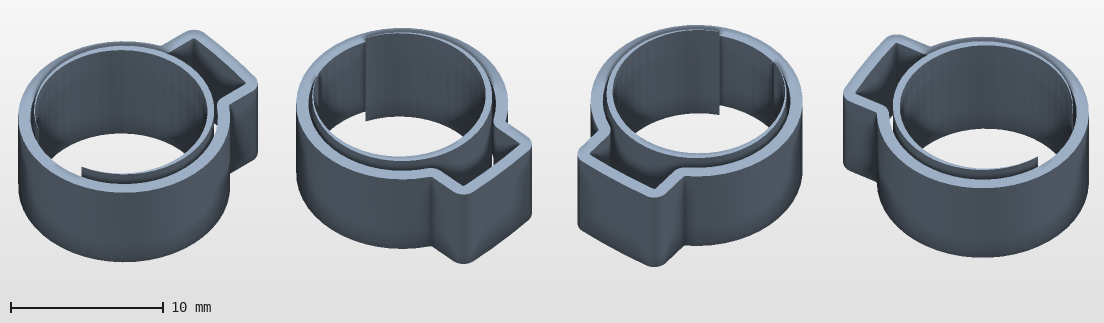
import cadquery as cq
import math

total_length = 15.99
clamp_diameter = 13.9
clamp_width = 6.5
wall = 0.8
ear_width = 7.0
crown_radius = 38.38
corner_outer_radius = 0.96
corner_inner_radius = corner_outer_radius - wall
root_outer_radius = 0.16
root_inner_radius = root_outer_radius + wall

ring_width = 7.8
ring_outer_radius = 5.9
ring_thickest_wall = 0.5
bore_offset = ring_thickest_wall / 2
bore_radius = ring_outer_radius - bore_offset
ring_gap = 4.48

clamp_radius = clamp_diameter / 2
ear_top = total_length - clamp_radius


def centred_extrusion(sketch, height):
    """Extrude a closed XY sketch to the given height, centred on Z = 0."""
    return sketch.extrude(height / 2, both=True)


def clamp_block(inset, corner_radius, root_radius):
    """Solid disc with its ear, with the outline moved inwards by the inset."""
    radius = clamp_radius - inset
    half_ear = ear_width / 2 - inset
    top = ear_top - inset
    bow_radius = crown_radius - inset
    shoulder = top - bow_radius + math.sqrt(bow_radius**2 - half_ear**2)
    root = math.sqrt(radius**2 - half_ear**2)

    disc = centred_extrusion(cq.Workplane("XY").circle(radius), clamp_width)
    ear_outline = (
        cq.Workplane("XY")
        .moveTo(-half_ear, 0)
        .lineTo(-half_ear, shoulder)
        .threePointArc((0, top), (half_ear, shoulder))
        .lineTo(half_ear, 0)
        .close()
    )
    block = disc.union(centred_extrusion(ear_outline, clamp_width))

    middle = (root + shoulder) / 2
    corner_zone = cq.selectors.BoxSelector(
        (-ear_width, middle, -clamp_width), (ear_width, total_length, clamp_width)
    )
    root_zone = cq.selectors.BoxSelector(
        (-ear_width, root / 2, -clamp_width), (ear_width, middle, clamp_width)
    )
    block = block.edges("|Z").edges(corner_zone).fillet(corner_radius)
    return block.edges("|Z").edges(root_zone).fillet(root_radius)


def make_clamp():
    """Eared band of even wall thickness."""
    outside = clamp_block(0, corner_outer_radius, root_outer_radius)
    inside = clamp_block(wall, corner_inner_radius, root_inner_radius)
    return outside.cut(inside)


def make_insert_ring():
    """Ring with an off-centre bore, split on its thin -Y side."""
    disc = centred_extrusion(cq.Workplane("XY").circle(ring_outer_radius), ring_width)
    bore_outline = cq.Workplane("XY").center(0, -bore_offset).circle(bore_radius)
    bore = centred_extrusion(bore_outline, ring_width)
    gap_outline = cq.Workplane("XY").center(0, -ring_outer_radius).rect(ring_gap, ring_outer_radius)
    gap = centred_extrusion(gap_outline, ring_width)
    return disc.cut(gap).cut(bore)


clamp = make_clamp().solids()
insert_ring = make_insert_ring().solids()

result = cq.Compound.makeCompound([clamp.val(), insert_ring.val()])